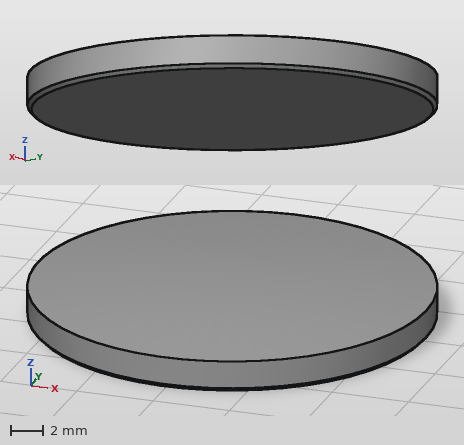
import cadquery as cq

diameter = 25.4
center_thickness = 2.6
edge_thickness = 2.03
bevel = 0.25

radius = diameter / 2

sag = center_thickness - edge_thickness
sphere_radius = (radius**2 + sag**2) / (2 * sag)
mid_radius = radius / 2
mid_height = center_thickness - sphere_radius + (sphere_radius**2 - mid_radius**2) ** 0.5

half_section = (
    cq.Workplane("XZ")
    .moveTo(0, 0)
    .lineTo(radius - bevel, 0)
    .lineTo(radius, bevel)
    .lineTo(radius, edge_thickness)
    .threePointArc((mid_radius, mid_height), (0, center_thickness))
    .close()
)

result = half_section.revolve(360, (0, 0, 0), (0, 1, 0))